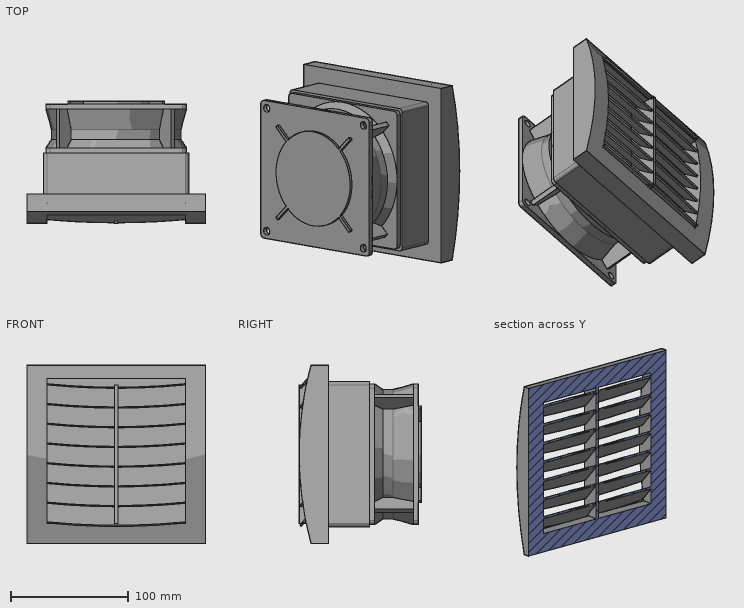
import cadquery as cq
import math


cover_size = 152.0
cover_edge_depth = 15.0
cover_depth = 25.0
window_size = 118.0

slat_count = 8
slat_pitch = 16.8
slat_tilt = 48.0
slat_thickness = 1.6
slat_length = 21.38
slat_bow = 4.0
top_slat_tip_y = -24.6
top_slat_tip_z = 57.15
bar_width = 3.0

housing_size = 124.0
housing_depth = 35.0
housing_corner_radius = 3.0

fan_size = 120.0
fan_depth = 41.5
flange_thickness = 4.3
flange_corner_radius = 3.5
duct_end_radius = fan_size / 2
duct_waist_radius = 55.2
rear_cone_depth = 17.5
waist_depth = 8.5
mount_hole_diameter = 6.5
mount_hole_spacing = 107.0

web_thickness = 4.0
web_reach = 69.1
web_offset = 1.1

motor_plate_radius = 41.0
motor_plate_depth = 2.5
motor_arm_width = 2.5
motor_arm_reach = 57.0

fan_front_y = housing_depth
fan_rear_y = fan_front_y + fan_depth
front_flange_back_y = fan_front_y + flange_thickness
rear_flange_front_y = fan_rear_y - flange_thickness


def block(width, height, y_start, y_end, corner_radius=0.0):
    """Block centred on the Y axis, with optional rounded edges along Y."""
    depth = y_end - y_start
    body = cq.Workplane("XY").box(width, depth, height).translate((0, y_start + depth / 2, 0))
    if corner_radius > 0:
        body = body.edges("|Y").fillet(corner_radius)
    return body


def make_cover():
    half = cover_size / 2
    profile = (
        cq.Workplane("YZ")
        .moveTo(0, -half)
        .lineTo(-cover_edge_depth, -half)
        .threePointArc((-cover_depth, 0), (-cover_edge_depth, half))
        .lineTo(0, half)
        .close()
    )
    plate = profile.extrude(half, both=True)
    return plate.cut(block(window_size, window_size, -cover_depth, 0))


def make_slat(index):
    """Tilted slat with bowed front and back edges, falling towards the front."""
    tilt = math.radians(slat_tilt)
    half = window_size / 2
    top_plane = cq.Plane(
        origin=(0, top_slat_tip_y, top_slat_tip_z - index * slat_pitch),
        xDir=(1, 0, 0),
        normal=(0, -math.sin(tilt), math.cos(tilt)),
    )
    back_end = slat_bow + slat_length
    return (
        cq.Workplane(top_plane)
        .moveTo(-half, slat_bow)
        .threePointArc((0, 0), (half, slat_bow))
        .lineTo(half, back_end)
        .threePointArc((0, slat_length), (-half, back_end))
        .close()
        .extrude(-slat_thickness)
    )


def make_duct():
    """Waisted fan duct between the two flanges."""
    waist_back_y = rear_flange_front_y - rear_cone_depth
    waist_front_y = waist_back_y - waist_depth
    return (
        cq.Workplane("XY")
        .moveTo(0, front_flange_back_y)
        .lineTo(duct_end_radius, front_flange_back_y)
        .lineTo(duct_waist_radius, waist_front_y)
        .lineTo(duct_waist_radius, waist_back_y)
        .lineTo(duct_end_radius, rear_flange_front_y)
        .lineTo(0, rear_flange_front_y)
        .close()
        .revolve(360, (0, 0, 0), (0, 1, 0))
    )


def make_diagonal_arms(reach, width, offset, y_start, y_end):
    """Four arms running out from the Y axis along the diagonals."""
    depth = y_end - y_start
    arm = cq.Workplane("XY").box(reach, depth, width)
    arm = arm.translate((reach / 2, y_start + depth / 2, offset))
    arms = cq.Workplane("XY")
    for quarter in range(4):
        arms = arms.add(arm.rotate((0, 0, 0), (0, 1, 0), 45 + 90 * quarter))
    return arms.combine()


def make_rear_flange():
    flange = block(fan_size, fan_size, rear_flange_front_y, fan_rear_y, flange_corner_radius)
    holes = (
        cq.Workplane("XZ", origin=(0, fan_rear_y, 0))
        .rect(mount_hole_spacing, mount_hole_spacing, forConstruction=True)
        .vertices()
        .circle(mount_hole_diameter / 2)
        .extrude(flange_thickness)
    )
    return flange.cut(holes)


def make_fan():
    front_flange = block(fan_size, fan_size, fan_front_y, front_flange_back_y, flange_corner_radius)
    webs = make_diagonal_arms(
        web_reach, web_thickness, web_offset, front_flange_back_y, rear_flange_front_y
    )
    plate_rear_y = fan_rear_y + motor_plate_depth
    motor_plate = (
        cq.Workplane("XZ", origin=(0, plate_rear_y, 0))
        .circle(motor_plate_radius)
        .extrude(motor_plate_depth)
    )
    motor_arms = make_diagonal_arms(motor_arm_reach, motor_arm_width, 0, fan_rear_y, plate_rear_y)
    fan = front_flange.union(make_duct()).union(webs).union(make_rear_flange())
    return fan.union(motor_plate).union(motor_arms)


housing = block(housing_size, housing_size, 0, housing_depth, housing_corner_radius)
bar = block(bar_width, window_size, -cover_depth, 0)

result = make_cover().union(housing).union(make_fan()).union(bar)
for slat_index in range(slat_count):
    result = result.union(make_slat(slat_index))